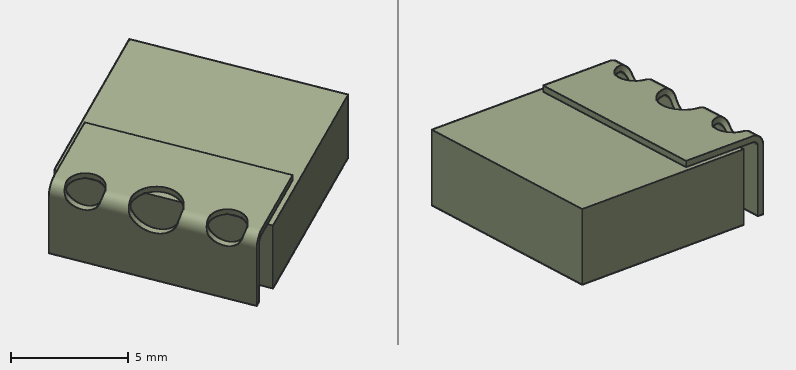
import cadquery as cq
import math

block_width = 10.0
block_depth = 9.0
block_height = 3.6
overall_depth = 10.3
back_y = overall_depth / 2
front_y = -overall_depth / 2

sheet = 0.3
cover_width = 9.5
cover_depth = 4.31
bend_outer = 2 * sheet
bend_inner = bend_outer - sheet
bend_middle = (bend_outer + bend_inner) / 2
cover_top = block_height + sheet
bend_y = front_y + bend_outer
bend_z = cover_top - bend_outer

centre_hole_radius = 1.17
side_hole_radius = 0.88
side_hole_x = 3.24
hole_offset = 0.14
bend_length = bend_middle * math.pi / 2
cut_margin = 0.1
bend_sections = 9


def make_block():
    return (
        cq.Workplane("XY")
        .box(block_width, block_depth, block_height, centered=(True, False, False))
        .translate((0, back_y - block_depth, 0))
    )


def make_cover():
    inner_y = front_y + sheet
    rear_y = front_y + cover_depth
    diagonal = math.sqrt(0.5)
    profile = (
        cq.Workplane("YZ")
        .moveTo(front_y, 0)
        .lineTo(front_y, bend_z)
        .threePointArc(
            (bend_y - bend_outer * diagonal, bend_z + bend_outer * diagonal),
            (bend_y, cover_top),
        )
        .lineTo(rear_y, cover_top)
        .lineTo(rear_y, block_height)
        .lineTo(bend_y, block_height)
        .threePointArc(
            (bend_y - bend_inner * diagonal, bend_z + bend_inner * diagonal),
            (inner_y, bend_z),
        )
        .lineTo(inner_y, 0)
        .close()
    )
    return profile.extrude(cover_width / 2, both=True)


def bend_section(x, radius, angle):
    """Radial rectangle as wide as the hole at this angle round the bend."""
    half_width = math.sqrt(radius**2 - (bend_middle * angle - hole_offset) ** 2)
    near = bend_inner - cut_margin
    far = bend_outer + cut_margin
    corners = [
        (x + side * half_width, bend_y - reach * math.sin(angle), bend_z + reach * math.cos(angle))
        for side, reach in ((-1, near), (1, near), (1, far), (-1, far))
    ]
    return cq.Wire.makePolygon([cq.Vector(*corner) for corner in corners], close=True)


def make_hole(x, radius):
    """Cutter for one folded hole: top leg, bend and front leg."""
    top_cut = (
        cq.Workplane("XY", origin=(x, bend_y - hole_offset, block_height))
        .circle(radius)
        .extrude(sheet)
        .intersect(
            cq.Workplane("XY", origin=(x, bend_y + radius, block_height))
            .box(2 * radius, 2 * radius, 2 * sheet)
        )
    )
    front_cut = (
        cq.Workplane("XZ", origin=(x, front_y + sheet, bend_z + bend_length - hole_offset))
        .circle(radius)
        .extrude(sheet)
        .intersect(
            cq.Workplane("XY", origin=(x, front_y, bend_z - radius))
            .box(2 * radius, 2 * sheet, 2 * radius)
        )
    )
    sections = [
        bend_section(x, radius, math.pi / 2 * step / (bend_sections - 1))
        for step in range(bend_sections)
    ]
    bend_cut = cq.Solid.makeLoft(sections)
    return (top_cut, bend_cut, front_cut)


cover = make_cover()
for hole_x, hole_radius in (
    (-side_hole_x, side_hole_radius),
    (0, centre_hole_radius),
    (side_hole_x, side_hole_radius),
):
    for cutter in make_hole(hole_x, hole_radius):
        cover = cover.cut(cutter)

result = make_block().union(cover)